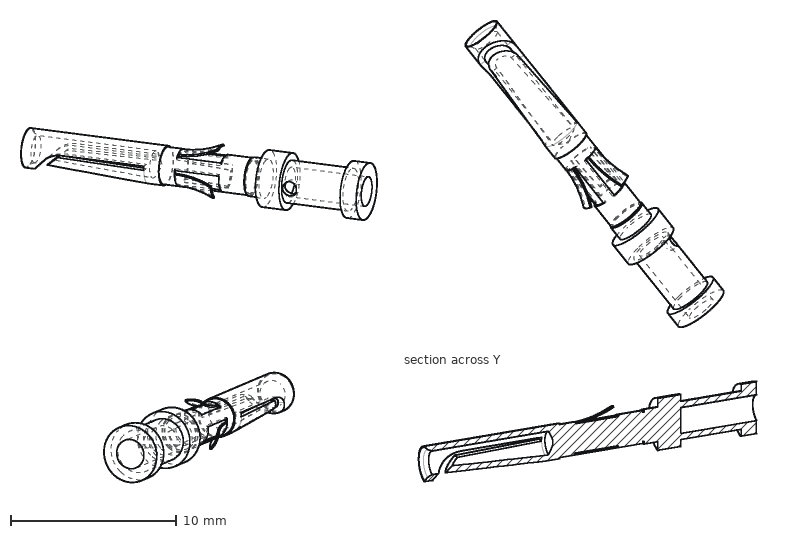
import cadquery as cq
import math


total_length = 22.0
socket_end = 8.95
clip_end = 14.47
shoulder_start = 14.53
collar_start = 15.45
collar_end = 16.98
rear_flange_start = 20.95

socket_radius = 1.22
clip_radius = 1.15
clip_thickness = 0.12
core_radius = clip_radius - clip_thickness
shoulder_radius = 1.2
collar_radius = 1.75
barrel_radius = 1.31

bore_radius = 0.83
bore_depth = 8.2
bore_point_length = 0.5
mouth_radius = 1.15
mouth_step_radius = 0.97
mouth_step_depth = 0.2
mouth_depth = 0.5

window_start = 0.5
window_end = 7.97
window_top = 0.23
window_slope = math.radians(45)
window_flat_start = 2.69

tongue_top = -0.03
tongue_tip_x = 1.3
tongue_tip_radius = 0.88
tongue_middle_x = 4.6
tongue_middle_radius = 1.06
tongue_thickness = socket_radius - bore_radius
tongue_top_start = 2.28

finger_count = 3
finger_window_start = 9.95
finger_window_end = 12.82
finger_window_width = 1.45
finger_width = 1.0
finger_clearance = 0.01
finger_inner_radius = core_radius + finger_clearance
finger_outer_radius = clip_radius - finger_clearance
finger_bend_radius = 5.7
finger_bend_angle = math.radians(26.5)

wire_bore_radius = 0.9
wire_bore_start = 17.0
sight_hole_x = 17.5
sight_hole_radius = 0.45


def spin(profile):
    """Revolve a profile about the contact axis, with the seam on -Z, clear of the fingers."""
    solid = profile.close().revolve(360, (0, 0, 0), (1, 0, 0))
    return solid.rotate((0, 0, 0), (1, 0, 0), 180)


def cylinder(start, end, radius):
    return cq.Workplane("YZ", origin=(start, 0, 0)).circle(radius).extrude(end - start)


def make_body():
    sections = [
        (socket_end, socket_radius),
        (clip_end, clip_radius),
        (shoulder_start, core_radius),
        (collar_start, shoulder_radius),
        (collar_end, collar_radius),
        (rear_flange_start, barrel_radius),
        (total_length, collar_radius),
    ]
    profile = cq.Workplane("XZ")
    start = 0
    for end, radius in sections:
        profile = profile.lineTo(start, radius).lineTo(end, radius)
        start = end
    return spin(profile.lineTo(total_length, 0))


def make_socket_bore():
    return spin(
        cq.Workplane("XZ")
        .lineTo(0, mouth_radius)
        .lineTo(mouth_step_depth, mouth_step_radius)
        .lineTo(mouth_depth, bore_radius)
        .lineTo(bore_depth, bore_radius)
        .lineTo(bore_depth + bore_point_length, 0)
    )


def make_socket_window():
    rise = window_top + socket_radius
    run = window_flat_start - window_start
    radius = (run * math.tan(window_slope) - rise) / (1 / math.cos(window_slope) - 1)
    arc_start = (
        window_flat_start - radius * math.sin(window_slope),
        window_top - radius * (1 - math.cos(window_slope)),
    )
    floor = -2 * socket_radius
    slope_foot = window_start + (floor + socket_radius) / math.tan(window_slope)
    return (
        cq.Workplane("XZ")
        .moveTo(slope_foot, floor)
        .lineTo(*arc_start)
        .tangentArcPoint((window_flat_start, window_top), relative=False)
        .lineTo(window_end, window_top)
        .lineTo(window_end, floor)
        .close()
        .extrude(2 * socket_radius, both=True)
    )


def make_tongue():
    root = (window_end, socket_radius)
    middle = (tongue_middle_x, tongue_middle_radius)
    tip = (tongue_tip_x, tongue_tip_radius)

    def inner(point):
        return (point[0], point[1] - tongue_thickness)

    shell = spin(
        cq.Workplane("XZ")
        .moveTo(*root)
        .threePointArc(middle, tip)
        .lineTo(*inner(tip))
        .threePointArc(inner(middle), inner(root))
    )
    side = (
        cq.Workplane("XZ")
        .moveTo(tongue_tip_x, -tongue_tip_radius)
        .lineTo(tongue_top_start, tongue_top)
        .lineTo(window_end, tongue_top)
        .lineTo(window_end, -2 * socket_radius)
        .lineTo(tongue_tip_x, -2 * socket_radius)
        .close()
        .extrude(2 * socket_radius, both=True)
    )
    return shell.intersect(side)


def around_axis(shape):
    """Copy a shape so that the copies are evenly spaced about the contact axis."""
    copies = shape
    for index in range(1, finger_count):
        copies = copies.union(shape.rotate((0, 0, 0), (1, 0, 0), index * 360 / finger_count))
    return copies


def upper_block(start, end, width):
    """Block that spans from the axis to beyond the collar radius on the +Z side."""
    height = 2 * collar_radius
    block = cq.Workplane("XY").box(end - start, width, height, centered=(False, True, False))
    return block.translate((start, 0, 0))


def make_finger():
    """Spring finger, flared outwards along arcs that leave the sleeve parallel to the axis."""
    bend_centre = finger_outer_radius + finger_bend_radius

    def bend_point(start_radius, angle):
        arc_radius = bend_centre - start_radius
        return (
            finger_window_start + arc_radius * math.sin(angle),
            bend_centre - arc_radius * math.cos(angle),
        )

    def middle(start_radius):
        return bend_point(start_radius, finger_bend_angle / 2)

    def tip(start_radius):
        return bend_point(start_radius, finger_bend_angle)

    strip = spin(
        cq.Workplane("XZ")
        .moveTo(finger_window_start, finger_inner_radius)
        .threePointArc(middle(finger_inner_radius), tip(finger_inner_radius))
        .lineTo(*tip(finger_outer_radius))
        .threePointArc(middle(finger_outer_radius), (finger_window_start, finger_outer_radius))
    )
    return strip.intersect(upper_block(finger_window_start, finger_window_end, finger_width))


def make_finger_window():
    block = upper_block(finger_window_start, finger_window_end, finger_window_width)
    return block.cut(cylinder(finger_window_start, finger_window_end, core_radius))


def make_sight_hole():
    return (
        cq.Workplane("XZ", origin=(sight_hole_x, 0, 0))
        .circle(sight_hole_radius)
        .extrude(collar_radius)
    )


wire_bore = cylinder(wire_bore_start, total_length, wire_bore_radius)
result = (
    make_body()
    .cut(make_socket_bore())
    .cut(make_socket_window())
    .union(make_tongue())
    .cut(around_axis(make_finger_window()))
    .union(around_axis(make_finger()))
    .cut(wire_bore)
    .cut(make_sight_hole())
)